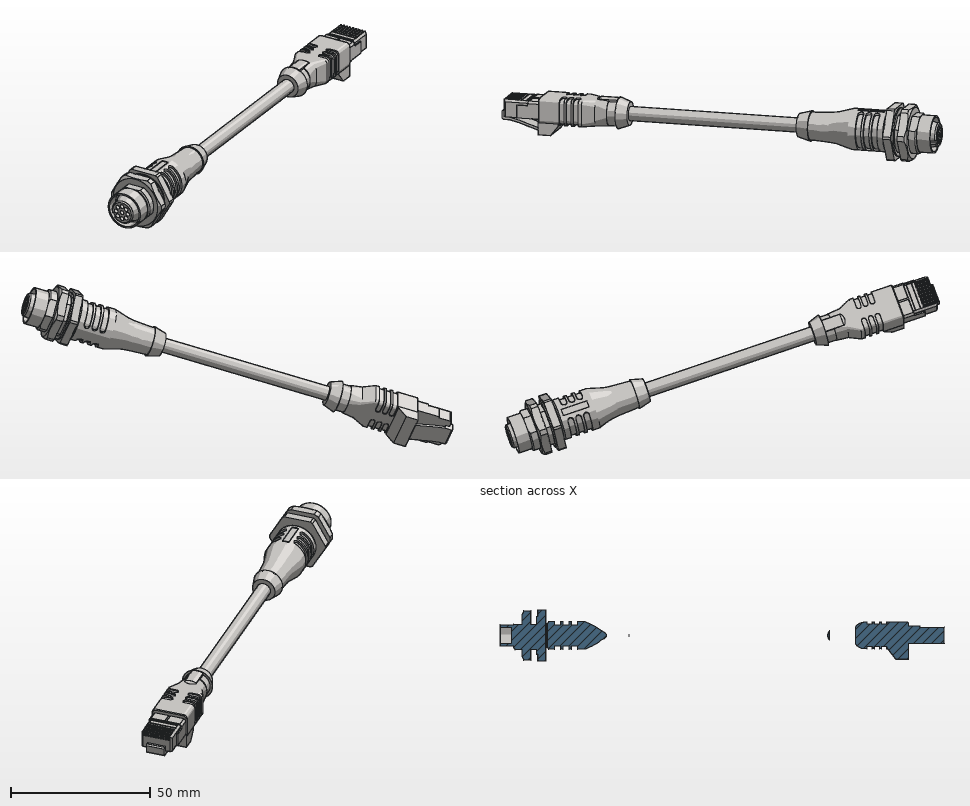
import cadquery as cq
import math


length = 162.9
cable_dia = 5.2

shell_front = 1.6
shell_dia = 13.5
shell_bore = 12.4
socket_depth = 4.0
insert_dia = 8.8
insert_base_dia = 11.0
insert_chamfer = 0.5
key_angle = 210
key_width = 1.6
key_depth = 0.8
pin_count = 8
pin_dia = 1.5
pin_circle_radius = 2.5
pin_depth = 3.3

thread_front = 6.5
thread_dia = 15.1
thread_chamfer = 0.5
flat_distance = shell_dia / 2
flat_directions = (90, 135, 270, 315)

across_flats = 19.0
lock_nut_front = 9.5
lock_nut_back = 12.7
lock_nut_dia = 21.0
lock_nut_chamfer_dia = 18.5
lock_nut_chamfer = 0.7
gasket_front = 14.7
gasket_dia = 17.6
flange_front = 15.1
flange_back = 18.0
flange_dia = 21.5
neck_dia = 9.5

grip_front = 18.5
grip_dia = 15.0
grip_chamfer = 0.5
grip_shoulder = 32.1
grip_waist = 39.9
grip_waist_dia = 11.0
grip_shoulder_slope = 0.3
grip_waist_slope = 0.1
lip_front = 47.9
lip_dia = 11.0
lip_step = 0.5
grip_back = 52.5
tail_dia = 8.6
grip_groove_centers = (22.3, 25.33, 28.3)
grip_groove_width = 2.1
grip_groove_dia = 13.5
grip_groove_reach = 2.6
window_width = 2.5
window_length = 9.8
window_center = 25.2
window_depth = 0.3

boot_front = 115.8
boot_lip = 119.9
boot_lip_dia = 11.5
boot_neck_dia = 9.8
boot_width = 13.5
boot_height = boot_neck_dia
boot_corner = 1.6
boot_blend_start = 123.3
boot_blend_corner = 4.2
boot_square = 127.7
boot_square_corner = 2.6
boot_shoulder = 132.1
boot_back = 148.4
boot_rim_chamfer = 0.3
strip_width = 4.4
strip_dia = 11.0
strip_back = 128.0
strip_slope = 1.1
boot_groove_centers = (134.4, 137.0, 139.6)
boot_groove_width = 1.8
boot_groove_reach = 2.0
boot_groove_depth = 0.5

guard_width = 13.0
guard_bottom = -8.6
guard_foot = 140.9
guard_flat_start = 143.8
latch_width = 6.8
latch_thickness = 1.0
latch_bend_y = 156.5
latch_bend_z = -4.4
latch_root_z = -7.3
nose_back = 160.0
nose_bottom = -4.5
nose_top = -1.0
nose_chamfer = 0.5

plug_front = 161.5
plug_top = 3.5
plug_bottom = -3.0
plug_width = 11.7
plug_front_chamfer = 0.7
shield_width = 12.7
shield_front = 156.5
shield_step_z = 1.8
shield_collar_front = 152.5
top_chamfer = 0.8
contact_count = 8
contact_pitch = 1.27
slot_width = 0.8
contact_back = 156.4
slot_depth = 1.6
blade_width = 0.4
blade_top = 3.0
rib_line_centers = (152.3, 153.3, 155.2)
seam_width = 0.7
seam_depth = 0.2


def box(x_range, y_range, z_range):
    """Box spanning the given (low, high) ranges."""
    sizes = [high - low for low, high in (x_range, y_range, z_range)]
    low_corner = (x_range[0], y_range[0], z_range[0])
    return cq.Workplane("XY").box(*sizes, centered=False).translate(low_corner)


def span(width):
    """Range of the given width centred on zero."""
    return (-width / 2, width / 2)


def around(center, width):
    return (center - width / 2, center + width / 2)


def section(y):
    """Workplane across the cable at a given Y, extruding toward +Y."""
    return cq.Workplane(cq.Plane(origin=(0, y, 0), xDir=(1, 0, 0), normal=(0, 1, 0)))


def rod(dia, y_start, y_end):
    return section(y_start).circle(dia / 2).extrude(y_end - y_start)


def revolved(points):
    """Solid of revolution about Y from (radius, y) points."""
    return cq.Workplane("XY").polyline(points).close().revolve(360, (0, 0, 0), (0, 1, 0))


def hexagon(y_start, y_end, corner_dia):
    """Hexagon with flats on top and bottom and its corners trimmed round."""
    corner_to_corner = across_flats / math.cos(math.radians(30))
    prism = section(y_start).polygon(6, corner_to_corner).extrude(y_end - y_start)
    return prism.intersect(rod(corner_dia, y_start, y_end))


def make_shell():
    shell = rod(shell_dia, shell_front, gasket_front)
    return shell.cut(rod(shell_bore, shell_front, shell_front + socket_depth))


def make_insert():
    tip_radius = insert_dia / 2
    base_y = shell_front + socket_depth
    insert = revolved([
        (0, 0),
        (tip_radius - insert_chamfer, 0),
        (tip_radius, insert_chamfer),
        (tip_radius, shell_front),
        (insert_base_dia / 2, base_y),
        (0, base_y),
    ])
    groove = box((tip_radius - key_depth, insert_base_dia), (0, base_y), span(key_width))
    insert = insert.cut(groove.rotate((0, 0, 0), (0, 1, 0), -key_angle))
    pins = (section(0).polarArray(pin_circle_radius, 0, 360, pin_count)
            .circle(pin_dia / 2).extrude(pin_depth))
    return insert.cut(pins).cut(rod(pin_dia, 0, pin_depth))


def make_thread():
    thread = rod(thread_dia, thread_front, flange_front).faces("<Y").chamfer(thread_chamfer)
    for direction in flat_directions:
        cutter = box((flat_distance, thread_dia), (thread_front, flange_front), span(thread_dia))
        thread = thread.cut(cutter.rotate((0, 0, 0), (0, 1, 0), -direction))
    return thread


def make_nuts():
    lock_nut = hexagon(lock_nut_front, lock_nut_back, lock_nut_dia)
    lock_nut = lock_nut.intersect(revolved([
        (0, lock_nut_front),
        (lock_nut_chamfer_dia / 2, lock_nut_front),
        (lock_nut_dia / 2, lock_nut_front + lock_nut_chamfer),
        (lock_nut_dia / 2, lock_nut_back),
        (0, lock_nut_back),
    ]))
    gasket = rod(gasket_dia, gasket_front, flange_front)
    flange = hexagon(flange_front, flange_back, flange_dia)
    neck = rod(neck_dia, flange_back, grip_front)
    return lock_nut.union(gasket).union(flange).union(neck)


def side_slots(centers, width, reach, size):
    """Full-height bars on both sides of X = 0 with round inner ends at |X| = reach."""
    slots = cq.Workplane("XY")
    for center in centers:
        for side in (-1, 1):
            slot = (cq.Workplane("XY", origin=(side * (reach + size / 2), center, -size))
                    .slot2D(size, width).extrude(2 * size))
            slots = slots.add(slot)
    return slots.combine()


def make_grip():
    grip_radius = grip_dia / 2
    lip_radius = lip_dia / 2
    profile = (
        cq.Workplane("XY")
        .moveTo(0, grip_front)
        .lineTo(grip_radius - grip_chamfer, grip_front)
        .lineTo(grip_radius, grip_front + grip_chamfer)
        .lineTo(grip_radius, grip_shoulder)
        .spline(
            [(grip_waist_dia / 2, grip_waist)],
            tangents=[(-grip_shoulder_slope, 1), (-grip_waist_slope, 1)],
            includeCurrent=True,
        )
        .lineTo(lip_radius - lip_step, lip_front)
        .lineTo(lip_radius, lip_front)
        .lineTo(tail_dia / 2, grip_back)
        .lineTo(0, grip_back)
        .close()
    )
    grip = profile.revolve(360, (0, 0, 0), (0, 1, 0))

    slots = side_slots(grip_groove_centers, grip_groove_width, grip_groove_reach, grip_dia)
    grip = grip.cut(slots.cut(rod(grip_groove_dia, grip_front, grip_shoulder)))

    window_floor = grip_radius - window_depth
    window = box(span(window_width), around(window_center, window_length), (window_floor, grip_dia))
    return grip.cut(window)


def rounded_rectangle(width, height, corner):
    return cq.Sketch().rect(width, height).vertices().fillet(corner)


def rounded_bar(y_start, y_end, *size):
    """Bar along Y with a (width, height, corner) rounded section."""
    return section(y_start).placeSketch(rounded_rectangle(*size)).extrude(y_end - y_start)


def blend(y_start, start_size, y_end, end_size):
    """Straight loft between two (width, height, corner) rounded rectangles."""
    end = rounded_rectangle(*end_size).moved(cq.Location(cq.Vector(0, 0, y_end - y_start)))
    return section(y_start).placeSketch(rounded_rectangle(*start_size), end).loft(ruled=True)


def make_boot():
    tail = revolved([
        (0, boot_front),
        (tail_dia / 2, boot_front),
        (boot_lip_dia / 2, boot_lip),
        (0, boot_lip),
    ])
    neck = rod(boot_neck_dia, boot_lip, boot_shoulder)

    start_size = (boot_neck_dia, boot_neck_dia, boot_blend_corner)
    square_size = (boot_neck_dia, boot_neck_dia, boot_square_corner)
    body_size = (boot_width, boot_height, boot_corner)
    corners = blend(boot_blend_start, start_size, boot_square, square_size)
    shoulder = blend(boot_square, square_size, boot_shoulder, body_size)
    body = rounded_bar(boot_shoulder, boot_back, *body_size)

    core_width = boot_width - 2 * boot_groove_depth
    core_height = boot_height - 2 * boot_groove_depth
    core = rounded_bar(boot_shoulder, boot_back, core_width, core_height, boot_corner)
    slots = side_slots(boot_groove_centers, boot_groove_width, boot_groove_reach, boot_width)
    body = body.cut(slots.cut(core))

    strip = revolved([
        (0, boot_lip),
        (strip_dia / 2, boot_lip),
        (strip_dia / 2, strip_back - strip_slope),
        (boot_neck_dia / 2, strip_back),
        (0, strip_back),
    ]).intersect(box(span(strip_width), (boot_lip, strip_back), (0, strip_dia)))

    body = body.faces(">Y").edges().chamfer(boot_rim_chamfer)
    return tail.union(neck).union(corners).union(shoulder).union(body).union(strip)


def side_profile(points, width):
    """Plate of the given width, centred on X = 0, from (y, z) points."""
    return cq.Workplane("YZ").polyline(points).close().extrude(width / 2, both=True)


def make_latch():
    guard_top = -boot_height / 2 + boot_corner
    guard = side_profile([
        (guard_foot, guard_top),
        (guard_foot, -boot_height / 2),
        (guard_flat_start, guard_bottom),
        (boot_back, guard_bottom),
        (boot_back, guard_top),
    ], guard_width)
    arm = side_profile([
        (boot_back - latch_thickness, latch_root_z),
        (latch_bend_y, latch_bend_z),
        (nose_back, nose_bottom + latch_thickness),
        (nose_back, nose_bottom),
        (latch_bend_y, latch_bend_z - latch_thickness),
        (boot_back - latch_thickness, latch_root_z - latch_thickness),
    ], latch_width)
    nose = box(span(latch_width), (nose_back, length), (nose_bottom, nose_top))
    nose = nose.faces(">Y").edges("|X").chamfer(nose_chamfer)
    return guard.union(arm).union(nose)


def make_plug():
    plug = box(span(plug_width), (boot_back, plug_front), (plug_bottom, plug_top))
    plug = plug.faces(">Y").edges("|Z").chamfer(plug_front_chamfer)
    plug = plug.edges("|Y and >Z").chamfer(top_chamfer)

    shield = box(span(shield_width), (boot_back, shield_front), (plug_bottom, shield_step_z))
    collar = box(span(shield_width), (boot_back, shield_collar_front), (plug_bottom, plug_top))
    collar = collar.edges("|Y and >Z").chamfer(top_chamfer)
    plug = plug.union(shield).union(collar)

    contact_y = (contact_back, plug_front)
    slot_floor = plug_top - slot_depth
    for index in range(contact_count):
        contact_x = (index - (contact_count - 1) / 2) * contact_pitch
        slot = box(around(contact_x, slot_width), contact_y, (slot_floor, plug_top))
        blade = box(around(contact_x, blade_width), contact_y, (slot_floor, blade_top))
        plug = plug.cut(slot.cut(blade))

    seam_z = (plug_top - seam_depth, plug_top)
    for center in rib_line_centers:
        plug = plug.cut(box(span(plug_width - 2 * top_chamfer), around(center, seam_depth), seam_z))
    return plug.cut(box(span(seam_width), (boot_back, shield_collar_front), seam_z))


cable = rod(cable_dia, grip_back, boot_front)

pieces = (
    make_insert(),
    make_thread(),
    make_nuts(),
    make_grip(),
    cable,
    make_boot(),
    make_latch(),
    make_plug(),
)
result = make_shell()
for piece in pieces:
    result = result.union(piece)